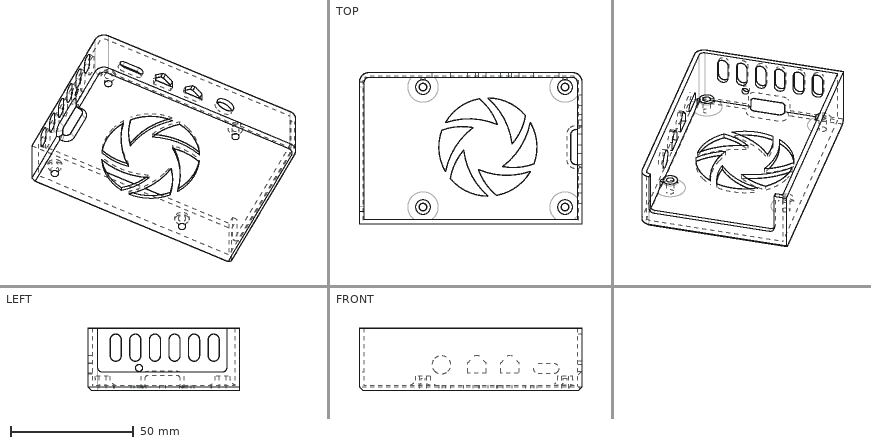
import cadquery as cq
import math

LENGTH = 91.0
WIDTH = 62.0
HEIGHT = 25.5
WALL = 2.0
FLOOR = 2.0
OUTER_RADIUS = 4.0
INNER_RADIUS = OUTER_RADIUS - WALL
BOTTOM_CHAMFER = 1.5

END_NOTCH_WIDTH = 52.8
END_NOTCH_CENTER_Y = 31.6
END_NOTCH_BOTTOM = 7.5
END_NOTCH_RADIUS = 2.0

BOARD_CENTER_Y = 31.5
STANDOFF_XS = (26.0, 84.0)
STANDOFF_SPACING_Y = 49.0
STANDOFF_YS = (BOARD_CENTER_Y - STANDOFF_SPACING_Y / 2, BOARD_CENTER_Y + STANDOFF_SPACING_Y / 2)
STANDOFF_DIAMETER = 6.0
STANDOFF_TOP = 6.0
FLARE_RADIUS = 3.2
SCREW_HOLE_DIAMETER = 3.0
RIB_WIDTH = 1.6
RIB_TOP = 5.0

FAN_CENTER = (52.5, BOARD_CENTER_Y)
FAN_RADIUS = 20.0
FAN_HUB_RADIUS = 10.0
FAN_OPENINGS = 6
BLADE_TIP_ANGLE = 90.0
BLADE_CORNER_ANGLE = 40.0
BLADE_HUB_ANGLE = 7.5
BLADE_LONG_EDGE_RADIUS = 29.5
BLADE_SHORT_EDGE_RADIUS = 24.4

VENT_COUNT = 6
VENT_PITCH = 8.0
VENT_WIDTH = 4.4
VENT_HEIGHT = 11.0
VENT_CENTER_Y = 30.6
VENT_CENTER_Z = 17.5
LIGHT_HOLE_DIAMETER = 2.8
LIGHT_HOLE_Y = 41.1
LIGHT_HOLE_Z = 9.2
CARD_SLOT_WIDTH = 14.2
CARD_SLOT_START_X = 86.4
CARD_SLOT_TOP = 6.2
CARD_SLOT_FLOOR_RADIUS = 2.0
CARD_SLOT_WALL_RADIUS = 1.2
CARD_SLOT_FLARE_ANGLE = 40.0
CARD_SLOT_OVERRUN = 3.0

AUDIO_HOLE_DIAMETER = 7.5
AUDIO_X = 33.5
AUDIO_Z = 10.5
VIDEO_XS = (48.0, 61.5)
VIDEO_WIDTH = 7.6
VIDEO_BOTTOM = 7.2
VIDEO_SIDE_HEIGHT = 4.0
VIDEO_CHAMFER = 3.2
POWER_X = 76.3
POWER_Z = 9.0
POWER_LENGTH = 10.4
POWER_HEIGHT = 4.0


def polar_point(radius, angle):
    return (radius * math.cos(math.radians(angle)), radius * math.sin(math.radians(angle)))


def make_outer_block():
    block = (
        cq.Workplane("XY")
        .box(LENGTH, WIDTH, HEIGHT, centered=False)
        .edges("|Z and >Y")
        .fillet(OUTER_RADIUS)
    )
    return block.faces("<Z").edges("<X or >X or >Y").chamfer(BOTTOM_CHAMFER)


def make_cavity():
    return (
        cq.Workplane("XY", origin=(WALL, WALL, FLOOR))
        .box(LENGTH - 2 * WALL, WIDTH - 2 * WALL, HEIGHT, centered=False)
        .edges("|Z and >Y")
        .fillet(INNER_RADIUS)
    )


def make_end_notch():
    return (
        cq.Workplane("XY", origin=(-WALL, END_NOTCH_CENTER_Y - END_NOTCH_WIDTH / 2, END_NOTCH_BOTTOM))
        .box(2 * WALL, END_NOTCH_WIDTH, HEIGHT, centered=False)
        .edges("|X and <Z")
        .fillet(END_NOTCH_RADIUS)
    )


def make_standoff():
    radius = STANDOFF_DIAMETER / 2
    return (
        cq.Workplane("XZ")
        .moveTo(0, 0)
        .lineTo(radius + FLARE_RADIUS, 0)
        .lineTo(radius + FLARE_RADIUS, FLOOR)
        .radiusArc((radius, FLOOR + FLARE_RADIUS), FLARE_RADIUS)
        .lineTo(radius, STANDOFF_TOP)
        .lineTo(0, STANDOFF_TOP)
        .close()
        .revolve(360, (0, 0, 0), (0, 1, 0))
    )


def make_rib():
    start_y = STANDOFF_YS[1] + (SCREW_HOLE_DIAMETER + STANDOFF_DIAMETER) / 4
    return (
        cq.Workplane("XY", origin=(0, start_y, FLOOR))
        .box(RIB_WIDTH, WIDTH - WALL - start_y, RIB_TOP - FLOOR, centered=(True, False, False))
    )


def make_fan_opening():
    tip = polar_point(FAN_RADIUS, BLADE_TIP_ANGLE)
    rim_middle = polar_point(FAN_RADIUS, (BLADE_TIP_ANGLE + BLADE_CORNER_ANGLE) / 2)
    corner = polar_point(FAN_RADIUS, BLADE_CORNER_ANGLE)
    hub = polar_point(FAN_HUB_RADIUS, BLADE_HUB_ANGLE)
    return (
        cq.Workplane("XY")
        .moveTo(*tip)
        .threePointArc(rim_middle, corner)
        .radiusArc(hub, BLADE_SHORT_EDGE_RADIUS)
        .radiusArc(tip, -BLADE_LONG_EDGE_RADIUS)
        .close()
        .extrude(FLOOR)
    )


def make_vents():
    first_y = VENT_CENTER_Y - VENT_PITCH * (VENT_COUNT - 1) / 2
    centers = [(first_y + i * VENT_PITCH, VENT_CENTER_Z) for i in range(VENT_COUNT)]
    return (
        cq.Workplane("YZ", origin=(LENGTH - WALL, 0, 0))
        .pushPoints(centers)
        .slot2D(VENT_HEIGHT, VENT_WIDTH, 90)
        .extrude(WALL)
    )


def make_light_hole():
    return (
        cq.Workplane("YZ", origin=(LENGTH - WALL, 0, 0))
        .center(LIGHT_HOLE_Y, LIGHT_HOLE_Z)
        .circle(LIGHT_HOLE_DIAMETER / 2)
        .extrude(WALL)
    )


def make_card_slot():
    slot_length = LENGTH - CARD_SLOT_START_X + CARD_SLOT_OVERRUN
    floor_cut = (
        cq.Workplane("XY", origin=(CARD_SLOT_START_X + slot_length / 2, BOARD_CENTER_Y, FLOOR))
        .sketch()
        .rect(slot_length, CARD_SLOT_WIDTH)
        .vertices("<X")
        .fillet(CARD_SLOT_FLOOR_RADIUS)
        .finalize()
        .extrude(-FLOOR, taper=-CARD_SLOT_FLARE_ANGLE)
    )
    slot_height = CARD_SLOT_TOP + CARD_SLOT_OVERRUN
    wall_cut = (
        cq.Workplane("YZ", origin=(LENGTH - WALL, BOARD_CENTER_Y, CARD_SLOT_TOP - slot_height / 2))
        .sketch()
        .rect(CARD_SLOT_WIDTH, slot_height)
        .vertices(">Y")
        .fillet(CARD_SLOT_WALL_RADIUS)
        .finalize()
        .extrude(WALL, taper=-CARD_SLOT_FLARE_ANGLE)
    )
    return floor_cut.union(wall_cut)


def back_wall_plane(x, z):
    return cq.Workplane("XZ", origin=(x, WIDTH, z))


def make_video_opening(x):
    half = VIDEO_WIDTH / 2
    return (
        back_wall_plane(x, VIDEO_BOTTOM)
        .moveTo(-half, 0)
        .lineTo(half, 0)
        .lineTo(half, VIDEO_SIDE_HEIGHT)
        .lineTo(half - VIDEO_CHAMFER, VIDEO_SIDE_HEIGHT + VIDEO_CHAMFER)
        .lineTo(-half + VIDEO_CHAMFER, VIDEO_SIDE_HEIGHT + VIDEO_CHAMFER)
        .lineTo(-half, VIDEO_SIDE_HEIGHT)
        .close()
        .extrude(WALL)
    )


cavity = make_cavity()
result = make_outer_block().cut(cavity)

standoff_points = [(x, y) for x in STANDOFF_XS for y in STANDOFF_YS]
for x, y in standoff_points:
    result = result.union(make_standoff().translate((x, y, 0)).intersect(cavity))
for x in STANDOFF_XS:
    result = result.union(make_rib().translate((x, 0, 0)))
for x, y in standoff_points:
    hole = cq.Workplane("XY").circle(SCREW_HOLE_DIAMETER / 2).extrude(STANDOFF_TOP)
    result = result.cut(hole.translate((x, y, 0)))

for i in range(FAN_OPENINGS):
    opening = make_fan_opening().rotate((0, 0, 0), (0, 0, 1), i * 360 / FAN_OPENINGS)
    result = result.cut(opening.translate((*FAN_CENTER, 0)))

result = result.cut(make_end_notch())
result = result.cut(make_vents())
result = result.cut(make_light_hole())
result = result.cut(make_card_slot())

result = result.cut(back_wall_plane(AUDIO_X, AUDIO_Z).circle(AUDIO_HOLE_DIAMETER / 2).extrude(WALL))
result = result.cut(back_wall_plane(POWER_X, POWER_Z).slot2D(POWER_LENGTH, POWER_HEIGHT).extrude(WALL))
for x in VIDEO_XS:
    result = result.cut(make_video_opening(x))

result = result.solids()